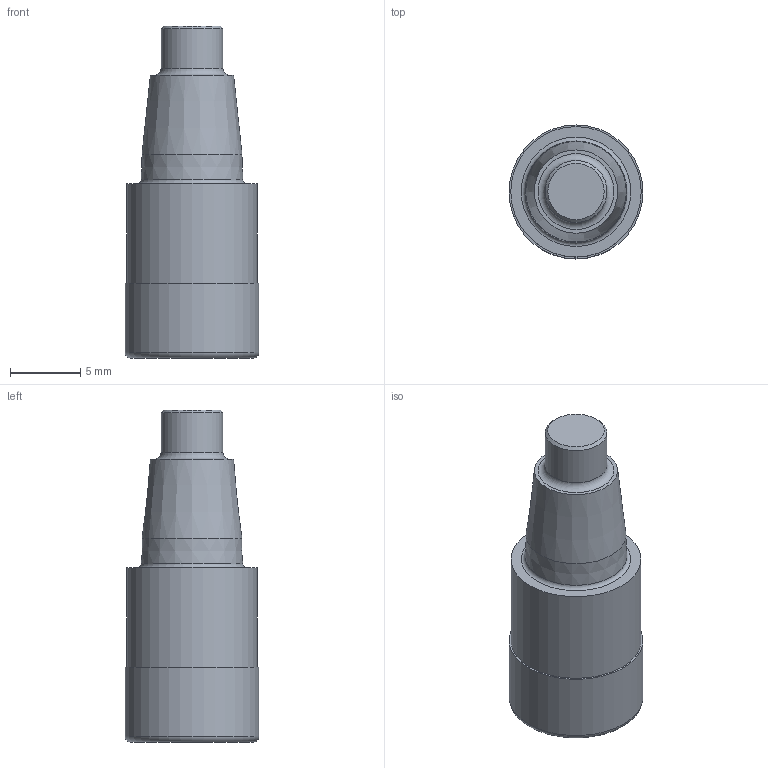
import cadquery as cq
import math

base_diameter = 9.525
base_height = 5.3
base_edge_radius = 0.4

shank_diameter = 9.27
shank_length = 7.1
collar_length = 2.1
collar_half_angle = math.radians(2)
collar_fillet = 0.28
neck_top_diameter = 5.92
neck_length = 5.6
neck_half_angle = math.radians(6)
tip_diameter = 4.4
tip_length = 3.5
tip_fillet = 0.5
tip_chamfer = 0.2

shank_top = base_height + shank_length
collar_top = shank_top + collar_length
neck_top = collar_top + neck_length
tip_top = neck_top + tip_length


def make_base():
    """Cylinder with a rounded bottom edge."""
    base = cq.Workplane("XY").circle(base_diameter / 2).extrude(base_height)
    return base.faces("<Z").edges().fillet(base_edge_radius)


def make_plunger():
    """Stepped turning, revolved about Z from its half outline."""
    shank_radius = shank_diameter / 2
    neck_top_radius = neck_top_diameter / 2
    tip_radius = tip_diameter / 2
    collar_top_radius = neck_top_radius + neck_length * math.tan(neck_half_angle)

    fillet_top = shank_top + collar_fillet * (1 - math.sin(collar_half_angle))
    fillet_top_radius = collar_top_radius + (collar_top - fillet_top) * math.tan(collar_half_angle)
    fillet_foot_radius = fillet_top_radius + collar_fillet * math.cos(collar_half_angle)

    outline = (
        cq.Workplane("XZ")
        .moveTo(0, base_height)
        .lineTo(shank_radius, base_height)
        .lineTo(shank_radius, shank_top)
        .lineTo(fillet_foot_radius, shank_top)
        .radiusArc((fillet_top_radius, fillet_top), collar_fillet)
        .lineTo(collar_top_radius, collar_top)
        .lineTo(neck_top_radius, neck_top)
        .lineTo(tip_radius + tip_fillet, neck_top)
        .radiusArc((tip_radius, neck_top + tip_fillet), tip_fillet)
        .lineTo(tip_radius, tip_top - tip_chamfer)
        .lineTo(tip_radius - tip_chamfer, tip_top)
        .lineTo(0, tip_top)
        .close()
    )
    return outline.revolve(360, (0, 0, 0), (0, 1, 0))


base = make_base()
plunger = make_plunger()

result = cq.Compound.makeCompound([base.val(), plunger.val()])